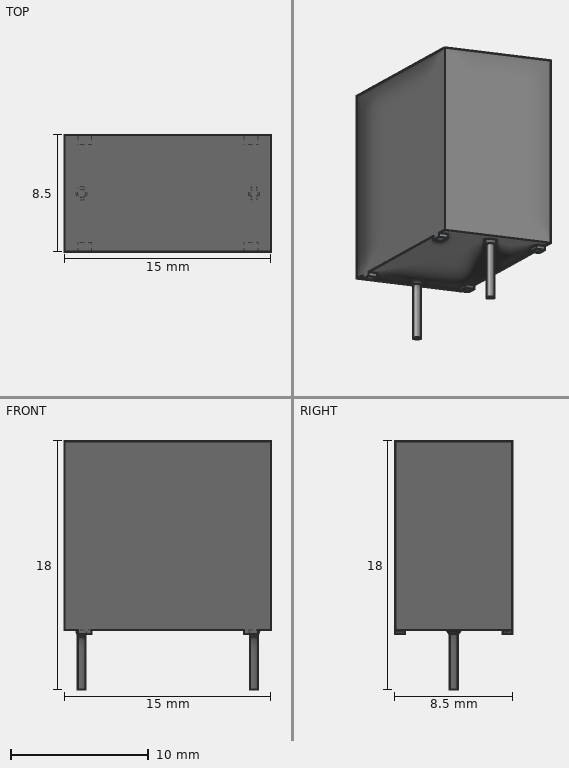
import cadquery as cq


case_length = 15.0
case_width = 8.5
total_height = 18.0
lead_drop = 4.3
case_height = total_height - lead_drop

standoff_length = 1.0
standoff_width = 0.7
standoff_height = 0.29
standoff_end_inset = 0.97
standoff_x = case_length / 2 - standoff_end_inset - standoff_length / 2
standoff_y = case_width / 2 - standoff_width / 2

lead_pitch = 12.5
lead_diameter = 0.6
collar_length = 0.8
collar_width = 0.99
collar_height = standoff_height


def make_case():
    return cq.Workplane("XY").box(case_length, case_width, case_height, centered=(True, True, False))


def make_standoffs():
    return (
        cq.Workplane("XY")
        .rect(2 * standoff_x, 2 * standoff_y, forConstruction=True)
        .vertices()
        .rect(standoff_length, standoff_width)
        .extrude(-standoff_height)
    )


def make_lead(x):
    """Round lead centred at x, running from the case underside to its tip."""
    return cq.Workplane("XY").center(x, 0).circle(lead_diameter / 2).extrude(-lead_drop)


def make_collar(x):
    """Collar centred at x, tapering from an oval at the case down to the lead diameter."""
    lead_radius = lead_diameter / 2
    return (
        cq.Workplane("XY")
        .center(x, 0)
        .ellipse(collar_length / 2, collar_width / 2)
        .workplane(offset=-collar_height)
        .ellipse(lead_radius, lead_radius)
        .loft(ruled=True)
    )


result = make_case().union(make_standoffs())
for side in (-1, 1):
    lead_x = side * lead_pitch / 2
    result = result.union(make_lead(lead_x)).union(make_collar(lead_x))